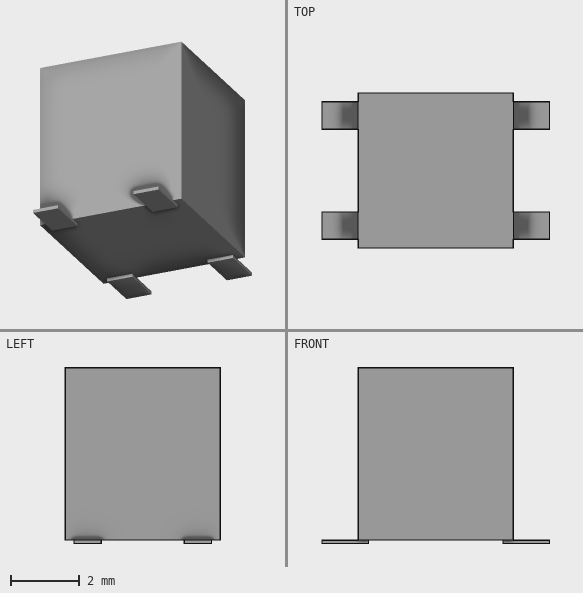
import cadquery as cq

overall_length = 6.6
overall_height = 5.1
housing_width = 4.5

lead_thickness = 0.1
lead_length = 1.35
lead_width = 0.8
lead_pitch = 3.195

housing_height = overall_height - lead_thickness
lead_center_x = (overall_length - lead_length) / 2
lead_center_y = lead_pitch / 2


def make_housing():
    """Plain block resting on top of the leads."""
    return (
        cq.Workplane("XY")
        .workplane(offset=lead_thickness)
        .box(housing_width, housing_width, housing_height, centered=(True, True, False))
    )


def make_lead(side_x, side_y):
    """Flat lead in the corner given by the signs side_x and side_y."""
    return (
        cq.Workplane("XY")
        .center(side_x * lead_center_x, side_y * lead_center_y)
        .box(lead_length, lead_width, lead_thickness, centered=(True, True, False))
    )


housing = make_housing()
leads = [make_lead(side_x, side_y) for side_x in (-1, 1) for side_y in (-1, 1)]

result = cq.Compound.makeCompound([housing.val(), *[lead.val() for lead in leads]])